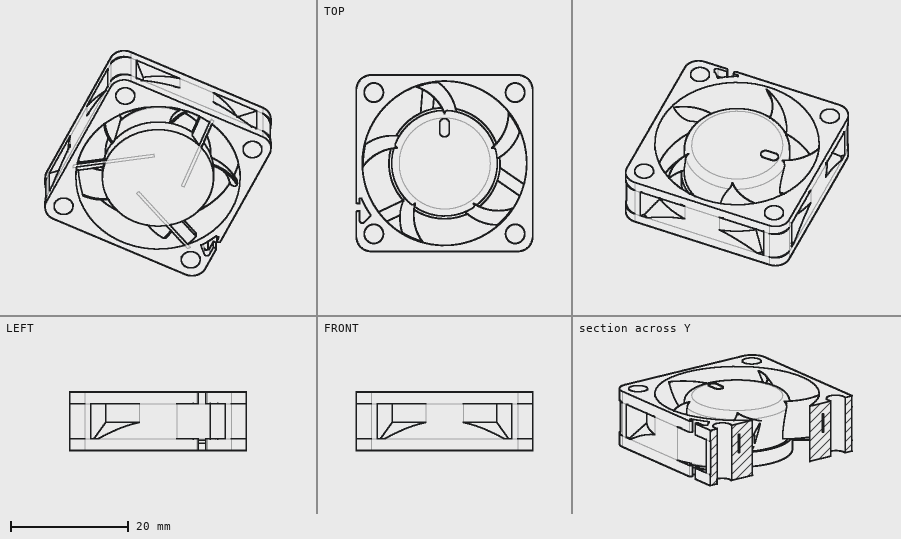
import cadquery as cq
import math

SIDE = 30.0
HALF = SIDE / 2
HEIGHT = 10.0
CORNER_RADIUS = 2.55
FLANGE = 2.0
BORE_RADIUS = 13.95
HOLE_PITCH = 24.0
HOLE_DIAMETER = 3.2

WAIST_TOP = HEIGHT - FLANGE
WAIST_CORNER_INSET = 0.15
DUCT_RADIUS = 15.33
FLARE_TOP = 4.8
POST_HALF_WIDTH = 2.55
POST_OFFSET = POST_HALF_WIDTH * math.sqrt(2)

LIP = 0.6
CHANNEL_END_Y = -5.97
CHANNEL_FILLET = 0.45
RELIEF_DEPTH = 0.25
RELIEF_BOTTOM = 1.25
RELIEF_TOP = 1.77
SLIT_Y_MIN = -8.1
SLIT_Y_MAX = -6.87
SLIT_ROUND = 0.27

BASE_RADIUS = 9.45
BASE_HEIGHT = 2.6
STRUT_COUNT = 3
STRUT_ANGLE = 85.4
STRUT_INNER = 2.67
STRUT_OUTER = 4.75
STRUT_LOW = 0.57
STRUT_FOOT = 0.55
STRUT_UNDERCUT = 1.53

HUB_RADIUS = 8.97
HUB_TOP = 9.65
HUB_FILLET = 1.23
MARK_WIDTH = 1.65
MARK_LENGTH = 3.12
MARK_CENTER_Y = 6.03
MARK_DEPTH = 0.1
BLADE_COUNT = 5
BLADE_TIP_RADIUS = 13.83
BLADE_ROOT_RADIUS = 8.1
BLADE_SECTIONS = [
    (3.42, 0.25, (2.0, 7.95), (0.95, 11.3), (-1.8, 14.1)),
    (6.45, 0.9, (1.17, 7.95), (-0.2, 11.3), (-4.05, 14.07)),
    (9.45, 0.05, (0.18, 7.95), (-1.23, 10.55), (-5.55, 13.2)),
]


def cylinder(radius, bottom, top):
    return cq.Workplane("XY").workplane(offset=bottom).circle(radius).extrude(top - bottom)


def turned(x, y, quarter_turns):
    """Point (x, y) turned about the origin by a number of quarter turns."""
    for _ in range(quarter_turns):
        x, y = -y, x
    return (x, y)


def flange(bottom):
    """Rounded square plate with the wire channel and its slit."""
    plate = cq.Workplane("XY").workplane(offset=bottom).rect(SIDE, SIDE).extrude(FLANGE)
    return plate.edges("|Z").fillet(CORNER_RADIUS).cut(wire_channel()).cut(wire_slit())


def waist_envelope():
    """Square block between the flanges; its corner arcs are flatter than the flange corners."""
    straight = HALF - CORNER_RADIUS
    corner_mid = straight + (CORNER_RADIUS - WAIST_CORNER_INSET) * math.sqrt(0.5)
    outline = cq.Workplane("XY").workplane(offset=FLANGE).moveTo(straight, -HALF)
    for turn in range(4):
        arc_middle = turned(corner_mid, -corner_mid, turn)
        outline = outline.threePointArc(arc_middle, turned(HALF, -straight, turn))
        outline = outline.lineTo(*turned(HALF, straight, turn))
    return outline.close().extrude(WAIST_TOP - FLANGE)


def corner_posts():
    """Two crossing bars along the diagonals."""
    bar = cq.Workplane("XY").workplane(offset=FLANGE).rect(2 * SIDE, 2 * POST_HALF_WIDTH)
    bar = bar.extrude(WAIST_TOP - FLANGE)
    rising = bar.rotate((0, 0, 0), (0, 0, 1), 45)
    falling = bar.rotate((0, 0, 0), (0, 0, 1), -45)
    return rising.union(falling)


def duct_flare():
    """Cone around the duct wall, left out in the octant of the wire exit."""
    cone = (
        cq.Workplane("XZ")
        .moveTo(0, FLANGE)
        .lineTo(DUCT_RADIUS + FLARE_TOP - FLANGE, FLANGE)
        .lineTo(DUCT_RADIUS, FLARE_TOP)
        .lineTo(0, FLARE_TOP)
        .close()
        .revolve(360, (0, 0, 0), (0, 1, 0))
    )
    octant = cq.Workplane("XY").polyline([(0, 0), (-SIDE, -SIDE), (-SIDE, 0)]).close().extrude(HEIGHT)
    return cone.cut(octant)


def waist():
    """Duct wall, flare and corner posts, trimmed flush with the flanges."""
    body = cylinder(DUCT_RADIUS, FLANGE, WAIST_TOP).union(corner_posts()).union(duct_flare())
    return body.intersect(waist_envelope())


def wire_channel():
    """Vertical channel through both flanges, between duct wall and corner post."""
    outer_x = -HALF + LIP
    inner_x = CHANNEL_END_Y - POST_OFFSET
    channel = (
        cq.Workplane("XY")
        .polyline([(outer_x, CHANNEL_END_Y), (outer_x, outer_x + POST_OFFSET), (inner_x, CHANNEL_END_Y)])
        .close()
        .extrude(HEIGHT)
        .edges("|Z and <Y")
        .fillet(CHANNEL_FILLET)
    )
    duct = (
        cq.Workplane("XZ")
        .lineTo(DUCT_RADIUS - RELIEF_DEPTH, 0)
        .lineTo(DUCT_RADIUS - RELIEF_DEPTH, RELIEF_BOTTOM)
        .lineTo(DUCT_RADIUS, RELIEF_TOP)
        .lineTo(DUCT_RADIUS, HEIGHT)
        .lineTo(0, HEIGHT)
        .close()
        .revolve(360, (0, 0, 0), (0, 1, 0))
    )
    return channel.cut(duct)


def wire_slit():
    """Slit through the lip into the channel; the lip's outer corners are rounded."""
    outer_x = -HALF
    inner_x = outer_x + LIP
    round_x = outer_x + SLIT_ROUND
    bulge = SLIT_ROUND * (1 - math.sqrt(0.5))
    return (
        cq.Workplane("XY")
        .moveTo(inner_x, SLIT_Y_MIN)
        .lineTo(inner_x, SLIT_Y_MAX)
        .lineTo(round_x, SLIT_Y_MAX)
        .threePointArc((outer_x + bulge, SLIT_Y_MAX + bulge), (outer_x, SLIT_Y_MAX + SLIT_ROUND))
        .lineTo(outer_x, SLIT_Y_MIN - SLIT_ROUND)
        .threePointArc((outer_x + bulge, SLIT_Y_MIN - bulge), (round_x, SLIT_Y_MIN))
        .close()
        .extrude(HEIGHT)
    )


def strut(angle):
    """Thin vane with a sloping face, from the motor base to the duct wall."""
    section = [
        (STRUT_INNER, BASE_HEIGHT),
        (STRUT_OUTER, STRUT_LOW),
        (STRUT_OUTER, 0),
        (STRUT_OUTER - STRUT_FOOT, 0),
        (STRUT_INNER, STRUT_UNDERCUT),
    ]
    vane = cq.Workplane("YZ").polyline(section).close().extrude(HALF)
    middle_of_wall = (BORE_RADIUS + DUCT_RADIUS) / 2
    return vane.intersect(cylinder(middle_of_wall, 0, HEIGHT)).rotate((0, 0, 0), (0, 0, 1), angle)


def make_frame():
    frame = flange(0).union(waist(), clean=False).union(flange(WAIST_TOP), clean=False)
    holes = (
        cq.Workplane("XY")
        .rect(HOLE_PITCH, HOLE_PITCH, forConstruction=True)
        .vertices()
        .circle(HOLE_DIAMETER / 2)
        .extrude(HEIGHT)
    )
    bore = cylinder(BORE_RADIUS, 0, HEIGHT)
    frame = frame.cut(holes, clean=False).cut(bore, clean=False)

    for index in range(STRUT_COUNT):
        frame = frame.union(strut(STRUT_ANGLE + index * 360 / STRUT_COUNT), clean=False)
    return frame.union(cylinder(BASE_RADIUS, 0, BASE_HEIGHT), clean=False)


def blade_section(height, thickness, root, middle, tip):
    """Closed strip of constant width along an arc, as a wire at the given height."""
    half = thickness / 2
    arc = cq.Edge.makeThreePointArc(*[cq.Vector(x, y, height) for x, y in (root, middle, tip)])
    sides = []
    for offset in (half, -half):
        points = []
        for parameter in (0, 0.5, 1):
            tangent = arc.tangentAt(parameter)
            points.append(arc.positionAt(parameter) + cq.Vector(-tangent.y, tangent.x, 0) * offset)
        sides.append(points)
    left, right = sides
    return cq.Wire.assembleEdges([
        cq.Edge.makeThreePointArc(*left),
        cq.Edge.makeLine(left[2], right[2]),
        cq.Edge.makeThreePointArc(*reversed(right)),
        cq.Edge.makeLine(right[0], left[0]),
    ])


def make_blade():
    wires = [blade_section(*section) for section in BLADE_SECTIONS]
    blade = cq.Workplane(cq.Solid.makeLoft(wires))
    ring = cylinder(BLADE_TIP_RADIUS, 0, HEIGHT).cut(cylinder(BLADE_ROOT_RADIUS, 0, HEIGHT))
    return blade.intersect(ring)


def make_rotor():
    hub = cylinder(HUB_RADIUS, BASE_HEIGHT, HUB_TOP).faces(">Z").edges().fillet(HUB_FILLET)
    blade = make_blade()
    rotor = hub
    for index in range(BLADE_COUNT):
        rotor = rotor.union(blade.rotate((0, 0, 0), (0, 0, 1), index * 360 / BLADE_COUNT))
    mark = (
        cq.Workplane("XY")
        .workplane(offset=HUB_TOP - MARK_DEPTH)
        .center(0, MARK_CENTER_Y)
        .slot2D(MARK_LENGTH, MARK_WIDTH, 90)
        .extrude(MARK_DEPTH)
    )
    return rotor.cut(mark)


frame = make_frame()
rotor = make_rotor()

result = cq.Compound.makeCompound([frame.val(), rotor.val()])